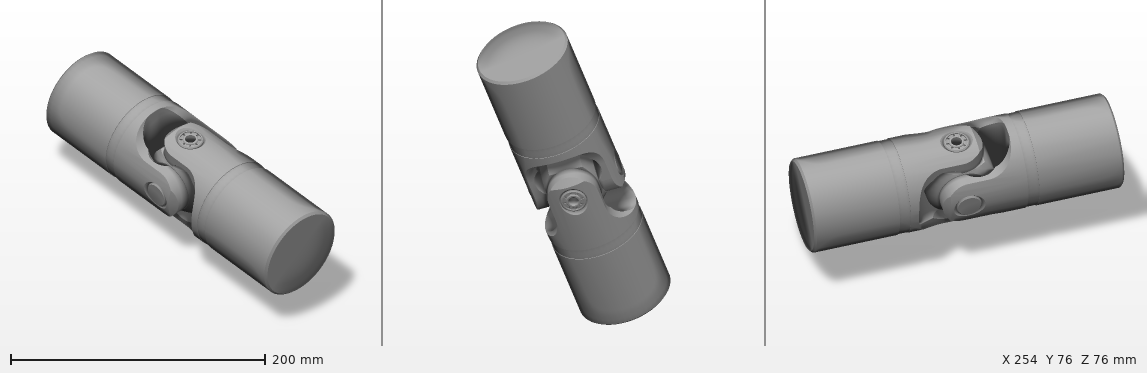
import cadquery as cq
import math

length = 254.0
diameter = 76.0
radius = diameter / 2
half_length = length / 2

end_chamfer = 1.8
groove_start = 48.0
groove_end = 57.2
groove_depth = 0.5

arm_half_width = 20.5
slot_half_width = 21.5
slot_depth = 41.5
slot_corner_radius = 16.5
flank_straight = 17.0
flare_radius = 26.0
tip_chamfer_start = 15.0
tip_length = arm_half_width
tip_radius = radius - (tip_length - tip_chamfer_start)
relief_radius = 16.0
relief_x = 13.2
relief_side = 25.5
relief_height = 12.0

block_radius = 29.0
block_half_width = slot_half_width
block_chamfer = 8.0

pin_radius = 10.5
pin_end = 37.0
pin_start = 12.7
pin_chamfer = 1.0
countersink_radius = 13.0
countersink_depth = countersink_radius - pin_radius

ring_radius = 8.6
ring_inner_radius = 4.3
ring_hub_radius = 6.0
ring_hub_chamfer = 0.5
ring_thickness = 2.0
ring_flange_thickness = 1.0
tooth_count = 8
tooth_gap = 1.5
pin_hole_depth = 10.2

reach = 2 * radius


def turn_about_x(solid, degrees):
    """Turn a body around the X axis."""
    return solid.rotate((0, 0, 0), (1, 0, 0), degrees)


def turned_blank():
    """Turned bar from the arm tips to the hub end, around the X axis."""
    groove_radius = radius - groove_depth
    return (
        cq.Workplane("XY")
        .moveTo(-tip_length, 0)
        .lineTo(-tip_length, tip_radius)
        .lineTo(-tip_chamfer_start, radius)
        .lineTo(groove_start, radius)
        .lineTo(groove_start, groove_radius)
        .lineTo(groove_end, groove_radius)
        .lineTo(groove_end, radius)
        .lineTo(half_length - end_chamfer, radius)
        .lineTo(half_length, radius - end_chamfer)
        .lineTo(half_length, 0)
        .close()
        .revolve(360, (0, 0, 0), (1, 0, 0))
    )


def slot_cutter():
    """Gap between the arms, open at the tips, with rounded corners at its floor."""
    return (
        cq.Workplane("XY")
        .box(reach, reach, 2 * slot_half_width)
        .translate((slot_depth - reach / 2, 0, 0))
        .edges("|Y and >X")
        .fillet(slot_corner_radius)
    )


def flank_cutter():
    """Material beside the arms on the +Y side: round tip, straight flank, flare."""
    flare_top = arm_half_width + flare_radius
    diagonal = math.sqrt(0.5)
    return (
        cq.Workplane("XY")
        .moveTo(-tip_length, 0)
        .threePointArc(
            (-arm_half_width * diagonal, arm_half_width * diagonal),
            (0, arm_half_width),
        )
        .lineTo(flank_straight, arm_half_width)
        .threePointArc(
            (flank_straight + flare_radius * diagonal, flare_top - flare_radius * diagonal),
            (flank_straight + flare_radius, flare_top),
        )
        .lineTo(-reach, flare_top)
        .lineTo(-reach, 0)
        .close()
        .extrude(reach, both=True)
    )


def pin_bore():
    """Bore for the pins of one yoke along Z, countersunk at both ends."""
    bore = cq.Workplane("XY").circle(pin_radius).extrude(radius, both=True)
    cone = cq.Workplane(
        cq.Solid.makeCone(
            pin_radius,
            countersink_radius,
            countersink_depth,
            pnt=cq.Vector(0, 0, radius - countersink_depth),
        )
    )
    return bore.union(cone).union(turn_about_x(cone, 180))


def make_yoke():
    """Yoke with its hub toward +X and its arms above and below the center."""
    flank = flank_cutter()
    yoke = turned_blank().cut(slot_cutter())
    yoke = yoke.cut(flank).cut(turn_about_x(flank, 180))
    for side in (-1, 1):
        for level in (-1, 1):
            relief = cq.Workplane("XY").sphere(relief_radius).translate(
                (relief_x, side * relief_side, level * relief_height)
            )
            yoke = yoke.cut(relief)
    return yoke.cut(pin_bore())


def make_pin():
    """Pin along +Z, chamfered at its outer end."""
    return (
        cq.Workplane("XY", origin=(0, 0, pin_start))
        .circle(pin_radius)
        .extrude(pin_end - pin_start)
        .faces(">Z")
        .chamfer(pin_chamfer)
    )


def make_ring_pin():
    """Pin with a center hole and a recess for the lock ring."""
    face = cq.Workplane("XY", origin=(0, 0, pin_end))
    return (
        make_pin()
        .cut(face.circle(ring_radius).extrude(-ring_thickness))
        .cut(face.circle(ring_inner_radius).extrude(-pin_hole_depth))
    )


def make_lock_ring():
    """Lock ring with a raised hub and a flange slotted into teeth."""
    seat = cq.Workplane("XY", origin=(0, 0, pin_end - ring_thickness))
    hub = seat.circle(ring_hub_radius).extrude(ring_thickness)
    hub = hub.faces(">Z").chamfer(ring_hub_chamfer)
    flange = seat.circle(ring_radius).extrude(ring_flange_thickness)
    gaps = (
        seat.polarArray(ring_radius, 0, 360, tooth_count)
        .rect(2 * (ring_radius - ring_hub_radius), tooth_gap)
        .extrude(ring_flange_thickness)
    )
    hole = seat.circle(ring_inner_radius).extrude(ring_thickness)
    return flange.cut(gaps).union(hub).cut(hole)


def make_block():
    """Chamfered disc around the Y axis with flats above and below and four bores."""
    disc = (
        cq.Workplane("XZ")
        .circle(block_radius)
        .extrude(block_half_width, both=True)
        .faces("<Y or >Y")
        .chamfer(block_chamfer)
    )
    flats = cq.Workplane("XY").box(reach, reach, 2 * slot_half_width)
    block = disc.intersect(flats)
    for angle in (0, 90, 180, 270):
        block = block.cut(turn_about_x(make_pin(), angle))
    return block


yoke_right = make_yoke()
yoke_left = turn_about_x(make_yoke().rotate((0, 0, 0), (0, 0, 1), 180), 90)
block = make_block()
plain_pins = [turn_about_x(make_pin(), angle) for angle in (90, 270)]
ring_pins = [turn_about_x(make_ring_pin(), angle) for angle in (0, 180)]
lock_rings = [turn_about_x(make_lock_ring(), angle) for angle in (0, 180)]

bodies = [yoke_right, yoke_left, block, *plain_pins, *ring_pins, *lock_rings]
result = cq.Compound.makeCompound([body.val() for body in bodies])